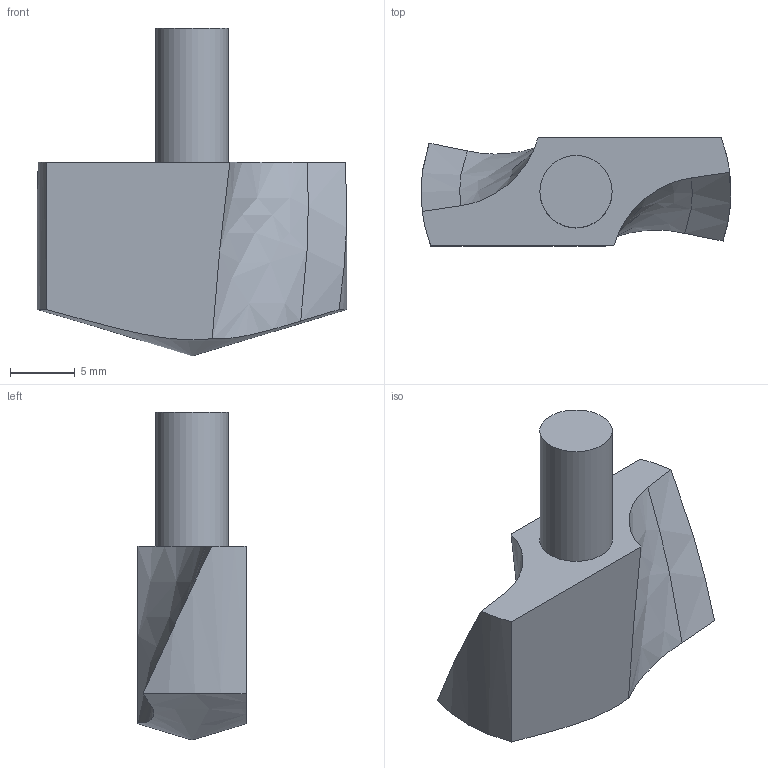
import cadquery as cq
import math

cutting_diameter = 24.0
blade_thickness = 8.37
blade_height = 15.0
tip_height = 3.6
shank_diameter = 5.6
overall_height = 25.4

flute_pitch = 160.0
flute_floor_angle = 8.3
flute_arc_radius = 7.35
flute_tangent_x = 8.94
flute_tangent_y = 1.08
flute_count = 2

cut_margin = 1.0
cutting_radius = cutting_diameter / 2
shank_length = overall_height - blade_height


def make_blade():
    """Cylinder with a conical tip, reduced to a flat blade."""
    round_blank = (
        cq.Workplane("XZ")
        .polyline([
            (0, 0),
            (cutting_radius, tip_height),
            (cutting_radius, blade_height),
            (0, blade_height),
        ])
        .close()
        .revolve(360, (0, 0, 0), (0, 1, 0))
    )
    flat_slab = cq.Workplane("XY").box(
        cutting_diameter + 2 * cut_margin,
        blade_thickness,
        blade_height,
        centered=(True, True, False),
    )
    return round_blank.intersect(flat_slab)


def make_flute_cutter():
    """Helical solid that clears one flute, overshooting the blade at both ends."""
    floor_angle = math.radians(flute_floor_angle)
    center_x = flute_tangent_x + flute_arc_radius * math.sin(floor_angle)
    center_y = flute_tangent_y - flute_arc_radius * math.cos(floor_angle)

    middle_angle = (math.radians(90 + flute_floor_angle) + math.pi) / 2
    arc_middle = (
        center_x + flute_arc_radius * math.cos(middle_angle),
        center_y + flute_arc_radius * math.sin(middle_angle),
    )
    arc_end = (center_x - flute_arc_radius, center_y)

    outer_x = cutting_radius + cut_margin
    outer_y = flute_tangent_y + (outer_x - flute_tangent_x) * math.tan(floor_angle)

    cutter_height = blade_height + 2 * cut_margin
    twist_per_height = 360 / flute_pitch
    start_angle = -twist_per_height * (blade_height + cut_margin)
    return (
        cq.Workplane("XY")
        .moveTo(outer_x, outer_y)
        .lineTo(flute_tangent_x, flute_tangent_y)
        .threePointArc(arc_middle, arc_end)
        .lineTo(outer_x, center_y)
        .close()
        .twistExtrude(cutter_height, twist_per_height * cutter_height)
        .rotate((0, 0, 0), (0, 0, 1), start_angle)
        .translate((0, 0, -cut_margin))
    )


def make_shank():
    """Plain round shank standing on the blade."""
    return (
        cq.Workplane("XY")
        .workplane(offset=blade_height)
        .circle(shank_diameter / 2)
        .extrude(shank_length)
    )


result = make_blade()
flute_cutter = make_flute_cutter()
for index in range(flute_count):
    flute_angle = index * 360 / flute_count
    result = result.cut(flute_cutter.rotate((0, 0, 0), (0, 0, 1), flute_angle))
result = result.union(make_shank())